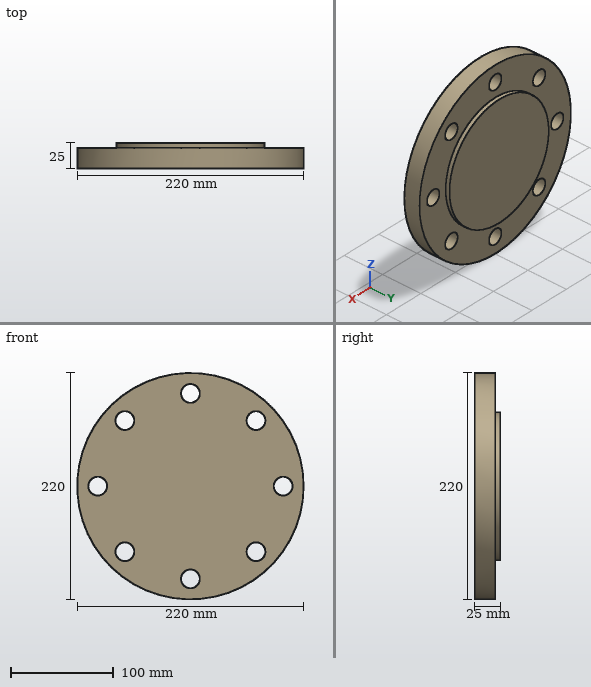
import cadquery as cq

flange_diameter = 220.0
flange_thickness = 20.0
raised_face_diameter = 144.0
raised_face_height = 5.0
bolt_circle_diameter = 180.0
bolt_hole_diameter = 18.0
bolt_hole_count = 8


def disc(diameter, thickness, start_y):
    """Solid disc about the Y axis, extending towards +Y from start_y."""
    plane = cq.Workplane("XZ", origin=(0, start_y, 0))
    return plane.circle(diameter / 2).extrude(-thickness)


def bolt_holes():
    """Ring of bores through the flange, the first one on the X axis."""
    return (
        cq.Workplane("XZ")
        .polarArray(bolt_circle_diameter / 2, 0, 360, bolt_hole_count)
        .circle(bolt_hole_diameter / 2)
        .extrude(-flange_thickness)
    )


flange = disc(flange_diameter, flange_thickness, 0)
raised_face = disc(raised_face_diameter, raised_face_height, flange_thickness)

result = flange.union(raised_face).cut(bolt_holes())